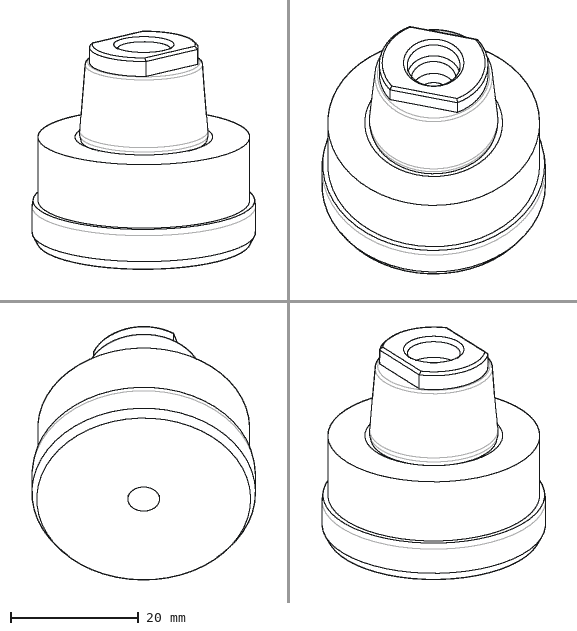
import cadquery as cq

total_height = 31.95
rim_radius = 17.5
rim_foot_radius = 16.75
rim_foot_height = 1.47
rim_top_chamfer_radius = 17.37
rim_top_chamfer_start = 5.67
rim_height = 6.65
drum_radius = 16.6
drum_top = 16.95

recess_mouth_radius = 10.8
recess_depth = 0.45
neck_base_radius = 9.88
neck_radius = 10.05
neck_flare_start = 17.23
neck_taper_start = 17.93
neck_top_radius = 9.18
neck_top = 29.05
neck_fillet = 0.42

boss_radius = 8.5
flat_distance = 6.55
flat_angle = -30.0
boss_chamfer = 0.45

through_radius = 2.5
bore_mouth_radius = 4.73
bore_radius = 4.13
bore_mouth_depth = 0.65
seat_start_depth = 3.4
seat_end_depth = 4.03
lower_bore_radius = 3.5
lower_cone_start_depth = 7.0
lower_cone_end_depth = lower_cone_start_depth + lower_bore_radius - through_radius


def make_base():
    """Drum and rim, with the sloping recess around the neck."""
    return (
        cq.Workplane("XZ")
        .moveTo(0, 0)
        .lineTo(rim_foot_radius, 0)
        .lineTo(rim_radius, rim_foot_height)
        .lineTo(rim_radius, rim_top_chamfer_start)
        .lineTo(rim_top_chamfer_radius, rim_height)
        .lineTo(drum_radius, rim_height)
        .lineTo(drum_radius, drum_top)
        .lineTo(recess_mouth_radius, drum_top)
        .lineTo(neck_base_radius, drum_top - recess_depth)
        .lineTo(0, drum_top - recess_depth)
        .close()
        .revolve(360, (0, 0), (0, 1))
    )


def make_neck():
    """Tapered neck with a short flare at its foot and a rounded top edge."""
    neck = (
        cq.Workplane("XZ")
        .moveTo(0, drum_top - recess_depth)
        .lineTo(neck_base_radius, drum_top - recess_depth)
        .lineTo(neck_radius, neck_flare_start)
        .lineTo(neck_radius, neck_taper_start)
        .lineTo(neck_top_radius, neck_top)
        .lineTo(0, neck_top)
        .close()
        .revolve(360, (0, 0), (0, 1))
    )
    return neck.faces(">Z").edges().fillet(neck_fillet)


def make_boss():
    """Round boss cut by two parallel flats, chamfered around the top."""
    height = total_height - neck_top
    between_flats = (
        cq.Workplane("XY")
        .box(2 * flat_distance, 2 * rim_radius, height, centered=(True, True, False))
        .rotate((0, 0, 0), (0, 0, 1), flat_angle)
    )
    boss = cq.Workplane("XY").circle(boss_radius).extrude(height).intersect(between_flats)
    return boss.faces(">Z").edges().chamfer(boss_chamfer).translate((0, 0, neck_top))


def make_bore():
    """Material removed by the stepped central bore."""
    sections = [
        (0, bore_mouth_radius),
        (bore_mouth_depth, bore_radius),
        (seat_start_depth, bore_radius),
        (seat_end_depth, lower_bore_radius),
        (lower_cone_start_depth, lower_bore_radius),
        (lower_cone_end_depth, through_radius),
        (total_height, through_radius),
    ]
    outline = [(0, total_height)]
    outline += [(radius, total_height - depth) for depth, radius in sections]
    outline.append((0, 0))
    return cq.Workplane("XZ").polyline(outline).close().revolve(360, (0, 0), (0, 1))


result = make_base().union(make_neck()).union(make_boss()).cut(make_bore())